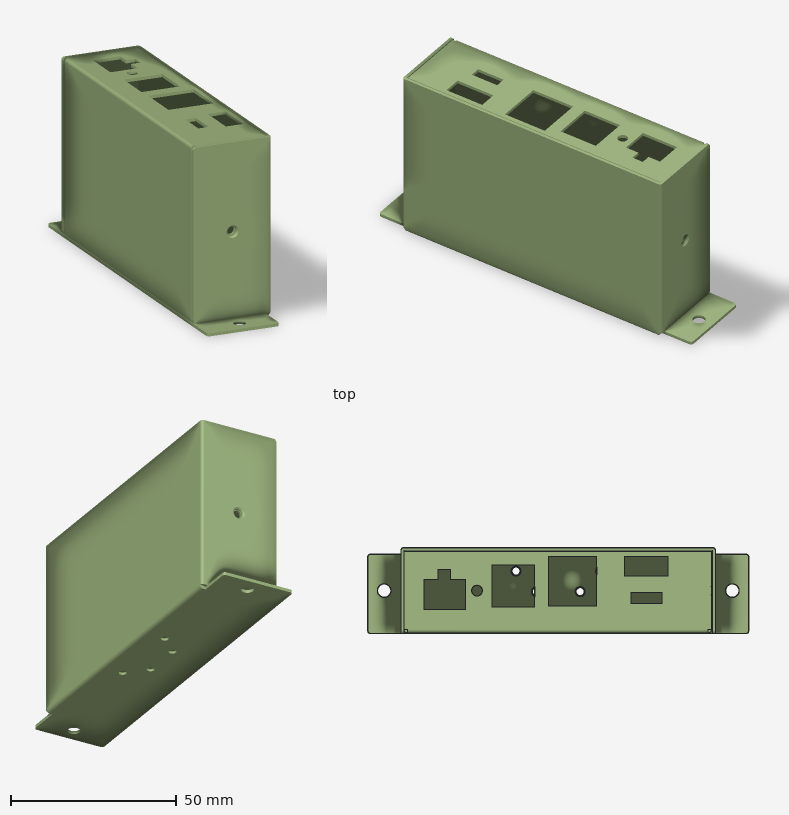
import cadquery as cq


sheet = 1.0
bend_radius = sheet
corner_radius = 1.0
box_length = 95.0
box_depth = 26.0
box_height = 57.0
front_y = -box_depth / 2
back_y = box_depth / 2
side_hole_z = box_height / 2

ear_length = 10.0
ear_depth = 24.0
ear_hole_diameter = 4.0
ear_hole_spacing = box_length + ear_length
inner_length = box_length - 2 * sheet
side_hole_diameter = 3.0
side_hole_rim_diameter = 4.0
bottom_hole_diameter = 2.46
bottom_hole_rim_diameter = 3.0
bottom_hole_points = [(-12.75, 5.9), (-6.6, -0.3), (6.6, -0.3), (12.75, 5.9)]

right_gap = 0.3
back_gap = 0.2
bottom_gap = 0.1
front_recess = 0.2
cover_left_x = -inner_length / 2
cover_right_x = inner_length / 2 - right_gap
cover_front_y = front_y + front_recess
cover_back_y = back_y - sheet - back_gap
cover_bottom_z = sheet + bottom_gap
flange_top_z = box_height - sheet
cover_hole_diameter = 2.5
lamp_hole_diameter = 3.25
lamp_hole_x = -24.5

jack_body = (-40.5, -28.0, -5.7, 3.3)
jack_latch = (-36.3, -32.5, jack_body[3], 6.4)
small_square_port = (-20.0, -7.1, -5.0, 7.8)
large_square_port = (-3.0, 11.6, -4.7, 10.3)
wide_slot = (20.0, 33.1, 4.4, 10.3)
narrow_slot = (22.0, 31.3, -3.9, -0.5)
top_openings = [jack_body, jack_latch, small_square_port, large_square_port, wide_slot, narrow_slot]


def block(x_range, y_range, z_range):
    """Box spanning the given (low, high) range along each axis."""
    size = [high - low for low, high in (x_range, y_range, z_range)]
    corner = (x_range[0], y_range[0], z_range[0])
    return cq.Workplane("XY").box(*size, centered=False).translate(corner)


def centered_range(length):
    """Range of the given length, centred on zero."""
    return (-length / 2, length / 2)


def cone(wide_diameter, narrow_diameter):
    """Tapered cutter whose wide end lies on the XY plane and which narrows downward."""
    depth = (wide_diameter - narrow_diameter) / 2
    return cq.Solid.makeCone(wide_diameter / 2, narrow_diameter / 2, depth, dir=cq.Vector(0, 0, -1))


def side_drill(diameter):
    """Cylinder along X that passes through both sides of the box."""
    drill = cq.Workplane("YZ").circle(diameter / 2).extrude(box_length / 2, both=True)
    return drill.translate((0, 0, side_hole_z))


def make_bottom_plate():
    """Bottom plate with rounded ear corners, ear holes and chamfered threaded holes."""
    ears = block(
        centered_range(box_length + 2 * ear_length),
        (front_y, front_y + ear_depth),
        (0, sheet),
    ).edges("|Z").fillet(corner_radius)
    rear_bend = (
        cq.Workplane("YZ")
        .lineTo(back_y - bend_radius, 0)
        .radiusArc((back_y, bend_radius), -bend_radius)
        .lineTo(0, sheet)
        .close()
        .extrude(inner_length / 2, both=True)
    )
    plate = ears.union(rear_bend)

    ear_holes = (
        cq.Workplane("XY").rarray(ear_hole_spacing, 1, 2, 1).circle(ear_hole_diameter / 2).extrude(sheet)
    )
    bottom_holes = (
        cq.Workplane("XY").pushPoints(bottom_hole_points).circle(bottom_hole_diameter / 2).extrude(sheet)
    )
    plate = plate.cut(ear_holes).cut(bottom_holes)
    rim_cutter = cone(bottom_hole_rim_diameter, bottom_hole_diameter)
    for x, y in bottom_hole_points:
        plate = plate.cut(cq.Workplane(rim_cutter.translate(cq.Vector(x, y, sheet))))
    return plate


def make_base():
    wall_z = (sheet, box_height)
    walls = block(centered_range(box_length), (front_y, back_y), wall_z)
    walls = walls.edges("|Z and >Y").fillet(bend_radius)
    walls = walls.edges("|X and <Y").fillet(corner_radius)
    interior = block(centered_range(inner_length), (front_y, back_y - sheet), wall_z)
    walls = walls.cut(interior)

    walls = walls.cut(side_drill(side_hole_diameter))
    countersink = cq.Workplane(cone(side_hole_rim_diameter, side_hole_diameter))
    for direction in (-1, 1):
        cutter = countersink.rotate((0, 0, 0), (0, 1, 0), direction * 90)
        walls = walls.cut(cutter.translate((direction * box_length / 2, 0, side_hole_z)))
    return walls.union(make_bottom_plate())


def make_cover():
    cover = block(
        (cover_left_x, cover_right_x),
        (cover_front_y, cover_back_y),
        (cover_bottom_z, box_height),
    )
    cover = cover.edges("|X and <Y and >Z").fillet(bend_radius)

    bend_y = cover_front_y + bend_radius
    for edge_x, bend_x in (
        (cover_left_x, cover_left_x + bend_radius),
        (cover_right_x, cover_right_x - bend_radius),
    ):
        relief = block(
            (min(edge_x, bend_x), max(edge_x, bend_x)),
            (cover_front_y, bend_y),
            (cover_bottom_z, box_height),
        )
        bend = (
            cq.Workplane("XY", origin=(bend_x, bend_y, cover_bottom_z))
            .circle(bend_radius)
            .extrude(flange_top_z - cover_bottom_z)
        )
        cover = cover.cut(relief).union(bend)

    hollow = block(
        (cover_left_x + sheet, cover_right_x - sheet),
        (cover_front_y + sheet, cover_back_y),
        (cover_bottom_z, flange_top_z),
    )
    cover = cover.cut(hollow).cut(side_drill(cover_hole_diameter))

    for left, right, front, back in top_openings:
        cover = cover.cut(block((left, right), (front, back), (flange_top_z, box_height)))
    lamp_hole = cq.Workplane("XY").center(lamp_hole_x, 0).circle(lamp_hole_diameter / 2).extrude(sheet)
    return cover.cut(lamp_hole.translate((0, 0, flange_top_z)))


base = make_base()
cover = make_cover()
result = cq.Compound.makeCompound([base.solids().val(), cover.solids().val()])